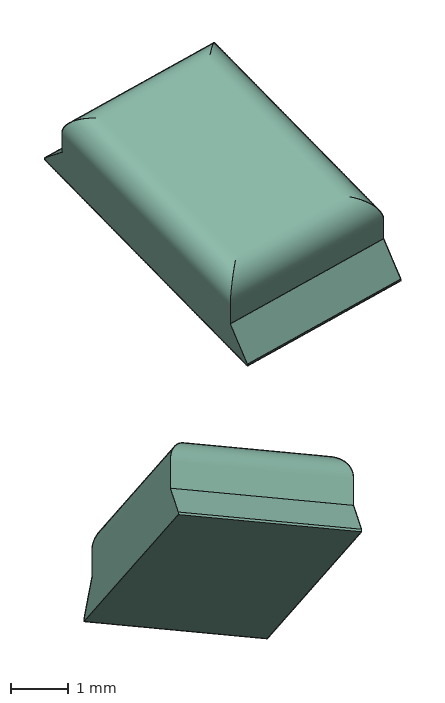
import cadquery as cq

length = 5.9
width = 3.3
height = 1.65

body_length = 4.9
shoulder_height = 0.65
lip_height = 0.05
top_round = 0.5

body = (
    cq.Workplane("XY")
    .box(body_length, width, height, centered=(True, True, False))
    .faces(">Z")
    .edges()
    .fillet(top_round)
)

foot = (
    cq.Workplane("XZ")
    .moveTo(-length / 2, 0)
    .lineTo(length / 2, 0)
    .lineTo(length / 2, lip_height)
    .lineTo(body_length / 2, shoulder_height)
    .lineTo(-body_length / 2, shoulder_height)
    .lineTo(-length / 2, lip_height)
    .close()
    .extrude(width / 2, both=True)
)

result = body.union(foot).clean()